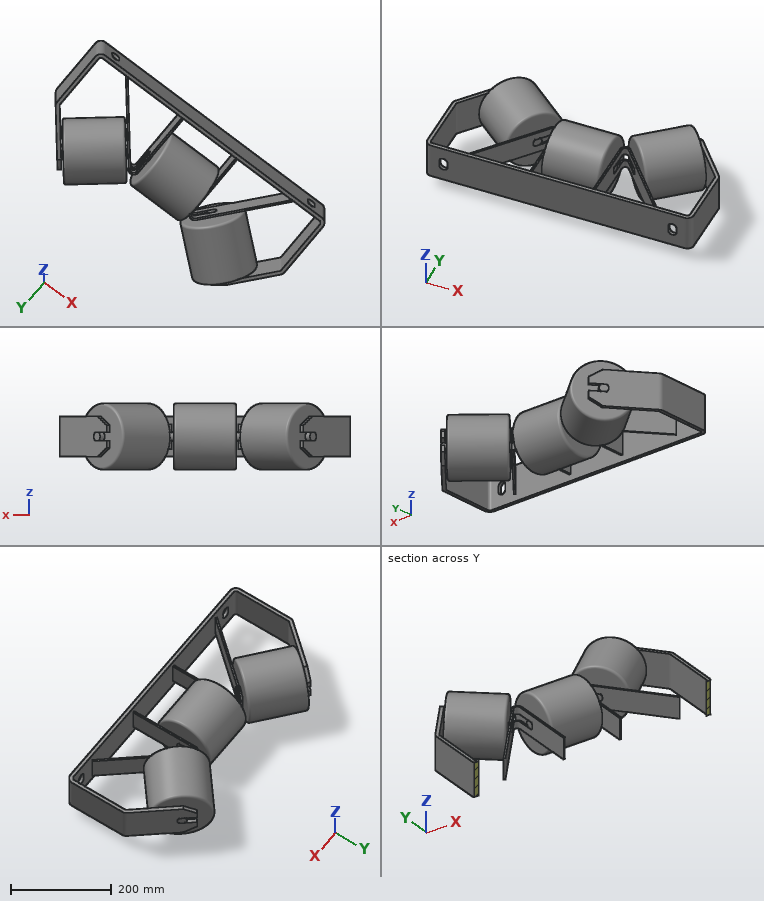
import cadquery as cq
import math

FRAME_LENGTH = 580.0
FRAME_WIDTH = 80.0
FRAME_THICKNESS = 8.0
FRAME_BEND_RADIUS = 6.0
TIP_REACH = 30.0
TIP_CHAMFER_LENGTH = 28.0
TIP_CHAMFER_WIDTH = 17.5

MOUNT_HOLE_SPACING = 499.0
MOUNT_HOLE_HEIGHT = 28.0
MOUNT_HOLE_WIDTH = 18.0

BRACKET_WIDTH = 50.0
BRACKET_THICKNESS = 4.0
BRACKET_BEND_RADIUS = 7.0

ROLLER_DIAMETER = 133.0
ROLLER_LENGTH = 125.0
ROLLER_EDGE_RADIUS = 5.0
SHAFT_DIAMETER = 20.0
SHAFT_FLAT_WIDTH = 16.0
FLAT_CLEARANCE = 2.0
SIDE_GAP = 4.0

CENTRE_ROLLER_Y = 125.0
WING_ROLLER_X = 158.5
WING_ROLLER_Y = 182.5
WING_ANGLE = 40.0

SUPPORT_FACE = ROLLER_LENGTH / 2 + SIDE_GAP
FRAME_SHAFT_END = SUPPORT_FACE + FRAME_THICKNESS
BRACKET_SHAFT_END = SUPPORT_FACE + BRACKET_THICKNESS
SIN = math.sin(math.radians(WING_ANGLE))
COS = math.cos(math.radians(WING_ANGLE))


def wing_point(along_axis, across_axis):
    """Point in the left outer roller's own axes, given in frame X and Y."""
    x = -WING_ROLLER_X + along_axis * COS + across_axis * SIN
    y = WING_ROLLER_Y - along_axis * SIN + across_axis * COS
    return (x, y)


def place_on_wing(body):
    """Move a body from the origin to the left outer roller's place."""
    turned = body.rotate((0, 0, 0), (0, 0, 1), -WING_ANGLE)
    return turned.translate((-WING_ROLLER_X, WING_ROLLER_Y, 0))


def mirrored(body):
    """Copy of a left-hand body on the right-hand side."""
    return body.mirror("YZ")


def both_sides(left_body):
    return [left_body, mirrored(left_body)]


def left_normal(start, end):
    """Unit vector pointing to the left of the way from start to end."""
    length = math.dist(start, end)
    return ((start[1] - end[1]) / length, (end[0] - start[0]) / length)


def bent_strip(outer, thickness, inner_radius, width):
    """Sheet strip with its outer face along the given points and its thickness to their left."""
    normals = [left_normal(a, b) for a, b in zip(outer, outer[1:])]
    before = [normals[0]] + normals
    after = normals + [normals[-1]]
    inner = []
    for (x, y), (ax, ay), (bx, by) in zip(outer, before, after):
        mitre = thickness / (1 + ax * bx + ay * by)
        inner.append((x + mitre * (ax + bx), y + mitre * (ay + by)))
    lower_face = cq.Workplane("XY", origin=(0, 0, -width / 2))
    strip = lower_face.polyline(outer + inner[::-1]).close().extrude(width)
    for corners, radius in ((outer, inner_radius + thickness), (inner, inner_radius)):
        for x, y in corners[1:-1]:
            strip = strip.edges(cq.selectors.NearestToPointSelector((x, y, 0))).fillet(radius)
    return strip


def cylinder_on_x(diameter, start, end):
    """Cylinder around the X axis between two X positions."""
    profile = cq.Workplane("XZ", origin=(start, 0, 0)).rect(end - start, diameter / 2, centered=False)
    return profile.revolve(360, (0, 0, 0), (1, 0, 0))


def flatted_shaft(start, end):
    """Shaft end between two X positions, with flats facing +Z and -Z."""
    rod = cylinder_on_x(SHAFT_DIAMETER, start, end)
    flats = cq.Workplane("XY").box(FRAME_LENGTH, SHAFT_DIAMETER, SHAFT_FLAT_WIDTH)
    return rod.intersect(flats)


def make_roller(left_shaft_end, right_shaft_end):
    """Roller along X at the origin, its shaft reaching the given distances from its centre."""
    drum = cylinder_on_x(ROLLER_DIAMETER, -ROLLER_LENGTH / 2, ROLLER_LENGTH / 2)
    drum = drum.faces("<X or >X").edges().fillet(ROLLER_EDGE_RADIUS)
    flat_start = SUPPORT_FACE - FLAT_CLEARANCE
    shaft = cylinder_on_x(SHAFT_DIAMETER, -flat_start, flat_start)
    left_end = flatted_shaft(-left_shaft_end, -flat_start)
    right_end = flatted_shaft(flat_start, right_shaft_end)
    return drum.union(shaft).union(left_end).union(right_end)


def tip_cuts():
    """Material removed from the left arm tip: the open shaft slot and both corner chamfers."""
    outer_face = cq.Workplane("YZ", origin=(-FRAME_SHAFT_END, 0, 0))
    slot = (
        outer_face.center(TIP_REACH / 2, 0)
        .rect(TIP_REACH, SHAFT_FLAT_WIDTH)
        .extrude(FRAME_THICKNESS)
    )
    edge_z = FRAME_WIDTH / 2
    chamfer = (
        outer_face
        .polyline([
            (TIP_REACH, edge_z),
            (TIP_REACH - TIP_CHAMFER_LENGTH, edge_z),
            (TIP_REACH, edge_z - TIP_CHAMFER_WIDTH),
        ])
        .close()
        .extrude(FRAME_THICKNESS)
    )
    return place_on_wing(slot.union(chamfer).union(chamfer.mirror("XY")))


def mount_holes():
    """Two upright round-ended holes through the base."""
    return (
        cq.Workplane("XZ")
        .pushPoints([(-MOUNT_HOLE_SPACING / 2, 0), (MOUNT_HOLE_SPACING / 2, 0)])
        .slot2D(MOUNT_HOLE_HEIGHT, MOUNT_HOLE_WIDTH, 90)
        .extrude(-FRAME_THICKNESS)
    )


def make_frame(wing_rollers):
    """Bent bar with a straight base, two sides and two arms leaning inwards."""
    side_x = -FRAME_LENGTH / 2
    tip_x, tip_y = wing_point(-FRAME_SHAFT_END, TIP_REACH)
    bend_y = tip_y - (tip_x - side_x) * COS / SIN
    left_half = [(tip_x, tip_y), (side_x, bend_y), (side_x, 0)]
    right_half = [(-x, y) for x, y in reversed(left_half)]
    frame = bent_strip(left_half + right_half, FRAME_THICKNESS, FRAME_BEND_RADIUS, FRAME_WIDTH)
    frame = frame.cut(tip_cuts()).cut(mirrored(tip_cuts())).cut(mount_holes())
    for roller in wing_rollers:
        frame = frame.cut(roller)
    return frame


def make_left_bracket(centre_roller, left_roller):
    """Folded strip standing on the base between the left and centre rollers."""
    upright_x = -SUPPORT_FACE
    slope_x, slope_y = wing_point(SUPPORT_FACE, 0)
    fold = (upright_x, slope_y + (upright_x - slope_x) * COS / SIN)
    inner_x, inner_y = wing_point(BRACKET_SHAFT_END, 0)
    foot_reach = (FRAME_THICKNESS - inner_y) / COS
    foot = wing_point(SUPPORT_FACE, foot_reach)
    bracket = bent_strip(
        [(upright_x, FRAME_THICKNESS), fold, foot],
        BRACKET_THICKNESS, BRACKET_BEND_RADIUS, BRACKET_WIDTH,
    )
    slot = (
        cq.Workplane("XY")
        .polyline([
            (upright_x, CENTRE_ROLLER_Y),
            fold,
            (slope_x, slope_y),
            (inner_x, inner_y),
            (-BRACKET_SHAFT_END, CENTRE_ROLLER_Y),
        ])
        .close()
        .extrude(SHAFT_FLAT_WIDTH / 2, both=True)
    )
    return bracket.cut(slot).cut(centre_roller).cut(left_roller)


centre_roller = make_roller(BRACKET_SHAFT_END, BRACKET_SHAFT_END).translate((0, CENTRE_ROLLER_Y, 0))
left_roller = place_on_wing(make_roller(FRAME_SHAFT_END, BRACKET_SHAFT_END))
wing_rollers = both_sides(left_roller)
brackets = both_sides(make_left_bracket(centre_roller, left_roller))
frame = make_frame(wing_rollers)

bodies = [frame, centre_roller]
for copies in (wing_rollers, brackets):
    bodies.extend(copies)
result = cq.Compound.makeCompound([body.solids().val() for body in bodies])